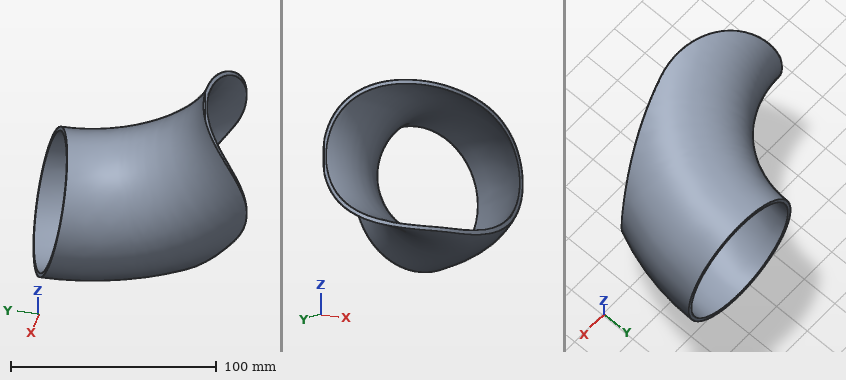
import cadquery as cq
import math

OVERALL_LENGTH = 129.0
OUTER_RADIUS = 37.02
WALL = 2.0
BORE_RADIUS = OUTER_RADIUS - WALL
BEND_RADIUS = OVERALL_LENGTH - OUTER_RADIUS

TIP_FLAT = WALL / 2
BLEND_X = 56.3
TRIM_END_X = 2 * BEND_RADIUS
TRIM_MARGIN = 2 * BEND_RADIUS
TRIM_HEIGHT = 3 * OUTER_RADIUS


def saddle_point(x):
    """Point where the bend meets an equal straight pipe along X at y = -BEND_RADIUS.

    Points equally far from both centrelines form a parabola focused on the bend centre.
    """
    return (x, -BEND_RADIUS + x**2 / (4 * BEND_RADIUS))


def saddle_slope(x):
    """Slope of the saddle parabola."""
    return x / (2 * BEND_RADIUS)


def bend_quarter(radius):
    """Solid quarter torus running from the +X axis round to the -Y axis."""
    return (
        cq.Workplane("XZ")
        .center(BEND_RADIUS, 0)
        .circle(radius)
        .revolve(90, (-BEND_RADIUS, 0), (-BEND_RADIUS, -1))
    )


def lowest_arc_point(tip, blend, slope):
    """Lowest point (-Y) of the arc through tip that touches the given slope at blend."""
    normal_length = math.hypot(slope, 1)
    normal_x = -slope / normal_length
    normal_y = 1 / normal_length
    chord_x = tip[0] - blend[0]
    chord_y = tip[1] - blend[1]
    radius = (chord_x**2 + chord_y**2) / (2 * (chord_x * normal_x + chord_y * normal_y))
    return (blend[0] + radius * normal_x, blend[1] + radius * normal_y - radius)


def trim_tool():
    """Prism along Z beyond the trim curve, an arc running tangentially into the parabola."""
    tip = (0, -BEND_RADIUS + OUTER_RADIUS - TIP_FLAT)
    blend = saddle_point(BLEND_X)
    blend_slope = saddle_slope(BLEND_X)
    middle_x = (BLEND_X + TRIM_END_X) / 2

    return (
        cq.Workplane("XY", origin=(0, 0, -TRIM_HEIGHT / 2))
        .moveTo(*tip)
        .threePointArc(lowest_arc_point(tip, blend, blend_slope), blend)
        .spline(
            [saddle_point(middle_x), saddle_point(TRIM_END_X)],
            tangents=[(1, blend_slope), (1, saddle_slope(TRIM_END_X))],
            includeCurrent=True,
        )
        .lineTo(TRIM_END_X, -TRIM_MARGIN)
        .lineTo(-TRIM_MARGIN, -TRIM_MARGIN)
        .lineTo(-TRIM_MARGIN, tip[1])
        .close()
        .extrude(TRIM_HEIGHT)
    )


elbow = bend_quarter(OUTER_RADIUS).cut(bend_quarter(BORE_RADIUS))
result = elbow.cut(trim_tool())